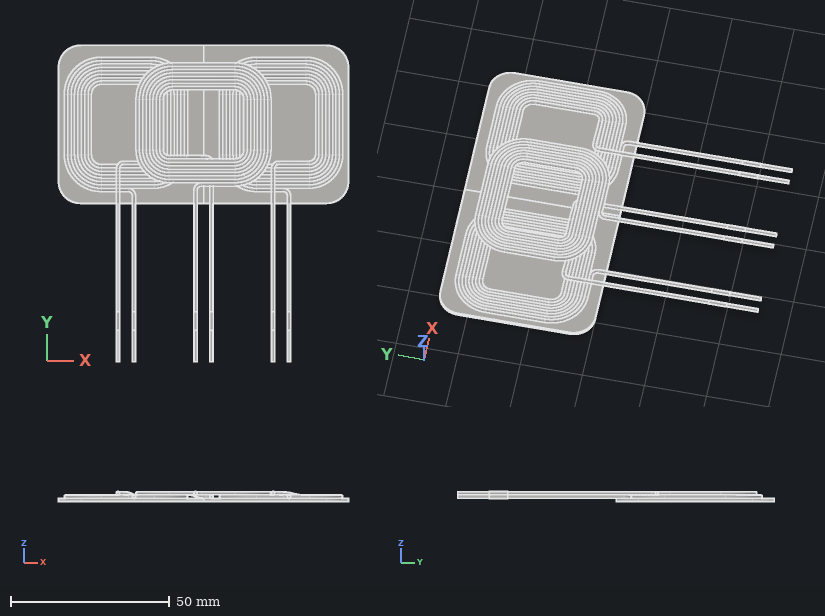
import cadquery as cq
import math

plate_length = 91.7
plate_width = 50.0
plate_thickness = 1.0
plate_corner_radius = 7.0

total_height = 3.2
sleeve_wall = 0.05
wire_diameter = (total_height - plate_thickness - sleeve_wall) / 2
wire_radius = wire_diameter / 2
sleeve_diameter = wire_diameter + 2 * sleeve_wall
lower_layer_z = plate_thickness + wire_radius
upper_layer_z = lower_layer_z + wire_diameter

turns = 8
pitch = wire_diameter
lower_coil_offset = 24.5
lower_straight_x = 15.6
lower_straight_y = 19.1
lower_opening_radius = 3.1
upper_straight_x = 19.7
upper_straight_y = 16.0
upper_opening_radius = 2.9

overall_width = 100.0
lead_spacing = 5.0
lead_bend_radius = 1.8
lead_end_y = plate_width / 2 - overall_width
sleeve_length = 5.8
sleeve_to_end = 10.0

left_step_length = 4.6
right_step_length = 9.0
upper_step_length = 6.2


def plate_half(side):
    """Half of the rounded plate; side is -1 for the left half and +1 for the right half."""
    plate = (
        cq.Workplane("XY")
        .rect(plate_length, plate_width)
        .extrude(plate_thickness)
        .edges("|Z")
        .fillet(plate_corner_radius)
    )
    half_block = (
        cq.Workplane("XY")
        .center(side * plate_length / 4, 0)
        .rect(plate_length / 2, plate_width)
        .extrude(plate_thickness)
    )
    return plate.intersect(half_block)


def straight(start, end):
    """Straight stretch of wire centre line."""
    return cq.Edge.makeLine(cq.Vector(*start), cq.Vector(*end))


def quarter_arc(center, radius, start_angle, z, sweep=90):
    """Arc in a level plane from start_angle over sweep degrees; a negative sweep runs clockwise."""
    points = []
    for angle in (start_angle, start_angle + sweep / 2, start_angle + sweep):
        turn = math.radians(angle)
        points.append(cq.Vector(center[0] + radius * math.cos(turn), center[1] + radius * math.sin(turn), z))
    return cq.Edge.makeThreePointArc(*points)


def layer_step(start, end):
    """S-curve along X that leaves and arrives level while it changes height."""
    middle_x = (start[0] + end[0]) / 2
    controls = [start, (middle_x, start[1], start[2]), (middle_x, end[1], end[2]), end]
    return cq.Edge.makeBezier([cq.Vector(*point) for point in controls])


def coil(straight_x, straight_y, opening_radius, coil_z, inner_lead_z, step_length):
    """Spiral of round wire around the origin, wound counterclockwise from the inner lead.

    Every turn has four quarter arcs. The lower right arc is one pitch tighter than the other
    three and its centre is one pitch further out, which carries the wire to the next turn.
    """
    half_x = straight_x / 2
    half_y = straight_y / 2
    first_radius = opening_radius + wire_radius
    inner_x = -lead_spacing / 2
    outer_x = lead_spacing / 2
    tight_center = (half_x + pitch, -half_y)
    edges = []

    inner_y = -half_y - (first_radius - pitch)
    bend_end_x = inner_x + lead_bend_radius
    bend_center = (bend_end_x, inner_y - lead_bend_radius)
    step_end_x = bend_end_x + step_length
    edges.append(straight((inner_x, lead_end_y, inner_lead_z), (inner_x, bend_center[1], inner_lead_z)))
    edges.append(quarter_arc(bend_center, lead_bend_radius, 180, inner_lead_z, -90))
    edges.append(layer_step((bend_end_x, inner_y, inner_lead_z), (step_end_x, inner_y, coil_z)))
    edges.append(straight((step_end_x, inner_y, coil_z), (tight_center[0], inner_y, coil_z)))

    for turn in range(turns):
        radius = first_radius + turn * pitch
        bottom_y = -half_y - radius
        edges.append(quarter_arc(tight_center, radius - pitch, 270, coil_z))
        edges.append(straight((half_x + radius, -half_y, coil_z), (half_x + radius, half_y, coil_z)))
        edges.append(quarter_arc((half_x, half_y), radius, 0, coil_z))
        edges.append(straight((half_x, half_y + radius, coil_z), (-half_x, half_y + radius, coil_z)))
        edges.append(quarter_arc((-half_x, half_y), radius, 90, coil_z))
        edges.append(straight((-half_x - radius, half_y, coil_z), (-half_x - radius, -half_y, coil_z)))
        edges.append(quarter_arc((-half_x, -half_y), radius, 180, coil_z))
        is_last = turn == turns - 1
        bottom_end_x = outer_x - lead_bend_radius if is_last else tight_center[0]
        edges.append(straight((-half_x, bottom_y, coil_z), (bottom_end_x, bottom_y, coil_z)))

    outer_center = (outer_x - lead_bend_radius, bottom_y - lead_bend_radius)
    edges.append(quarter_arc(outer_center, lead_bend_radius, 90, coil_z, -90))
    edges.append(straight((outer_x, outer_center[1], coil_z), (outer_x, lead_end_y, coil_z)))

    path = cq.Workplane(cq.Wire.assembleEdges(edges))
    body = (
        cq.Workplane("XZ", origin=(inner_x, lead_end_y, inner_lead_z))
        .circle(wire_radius)
        .sweep(path)
    )
    for x, z in ((inner_x, inner_lead_z), (outer_x, coil_z)):
        body = body.union(lead_sleeve(x, z))
    return body


def lead_sleeve(x, z):
    """Thicker stretch of a lead near its free end."""
    sleeve_end_y = lead_end_y + sleeve_to_end
    return (
        cq.Workplane("XZ", origin=(x, sleeve_end_y, z))
        .circle(sleeve_diameter / 2)
        .extrude(-sleeve_length)
    )


def lower_coil(center_x, step_length):
    """Coil on the plate; its inner lead climbs and leaves over its own turns."""
    body = coil(
        lower_straight_x,
        lower_straight_y,
        lower_opening_radius,
        lower_layer_z,
        upper_layer_z,
        step_length,
    )
    return body.translate((center_x, 0, 0))


def upper_coil():
    """Coil on top of the lower two, wound the other way; its inner lead leaves under its own turns."""
    body = coil(
        upper_straight_x,
        upper_straight_y,
        upper_opening_radius,
        upper_layer_z,
        lower_layer_z,
        upper_step_length,
    )
    return body.mirror("YZ")


plate_halves = [plate_half(side) for side in (-1, 1)]
lower_coils = [
    lower_coil(side * lower_coil_offset, step_length)
    for side, step_length in ((-1, left_step_length), (1, right_step_length))
]
top_coil = upper_coil()

result = cq.Compound.makeCompound([body.val() for body in plate_halves + lower_coils + [top_coil]])